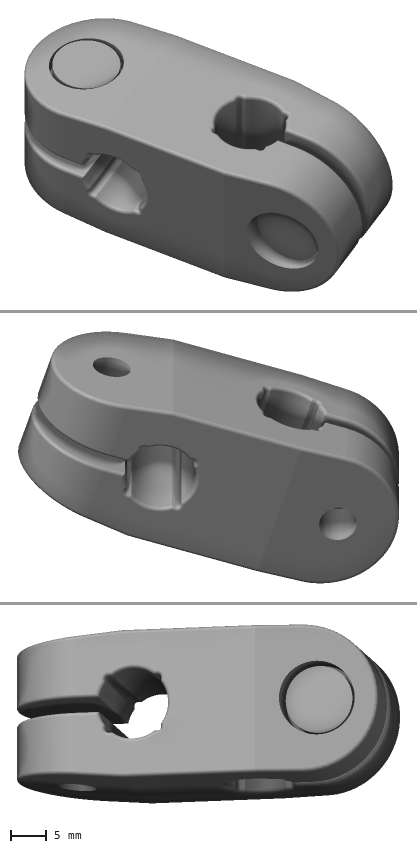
import cadquery as cq

length = 53.0
width = 21.0
edge_radius = 0.5

end_radius = width / 2
end_centre_x = length / 2 - end_radius
taper_start_x = 9.5
z_taper_drop = 1.5
y_taper_drop = 2.55

bore_x = 8.0
bore_radius = 5.0
relief_square = 8.0
relief_corner_radius = 0.5
slot_width = 2.0
cut_through = 2 * width
bore_seam_angle = 45

screw_x = 18.05
seat_radius = 5.25
head_radius = 4.75
head_height = 2.75
jaw_hole_radius = 2.65
z_head_top = 9.65
y_head_top = 7.7


def to_other_end(shape):
    """Half turn that sends -X to +X, +Z to -Y and Y to -Z."""
    return shape.rotate((0, 0, 0), (0, 1, -1), 180)


def end_profile(taper_drop):
    """Side outline extruded along Y: tapered at -X, round at +X."""
    half = width / 2
    tip = half - taper_drop
    return (
        cq.Workplane("XZ")
        .moveTo(-length / 2, -tip)
        .lineTo(-taper_start_x, -half)
        .lineTo(end_centre_x, -half)
        .threePointArc((length / 2, 0), (end_centre_x, half))
        .lineTo(-taper_start_x, half)
        .lineTo(-length / 2, tip)
        .close()
        .extrude(half, both=True)
    )


def grooved_bore():
    """Bore along Y at the -X end, with its four corner grooves."""
    bore = cq.Workplane("XZ").center(-bore_x, 0).circle(bore_radius).extrude(cut_through / 2, both=True)
    relief = (
        cq.Workplane("XY")
        .box(relief_square, cut_through, relief_square)
        .edges("|Y")
        .fillet(relief_corner_radius)
        .translate((-bore_x, 0, 0))
    )
    bore = bore.rotate((-bore_x, 0, 0), (-bore_x, 1, 0), bore_seam_angle)
    return bore.union(relief)


def clamp_slot():
    """Slot from the bore axis out past the -X tip."""
    return cq.Workplane("XY").box(length, cut_through, slot_width).translate((-bore_x - length / 2, 0, 0))


def cut_and_round(body, cutter):
    """Cut an opening along Y at the -X end and round its rims."""
    rim_zone = cq.selectors.BoxSelector((-length, -width, -bore_radius), (0, width, bore_radius))
    return body.cut(cutter).edges(rim_zone).edges("not |Y").fillet(edge_radius)


def cut_clamp(body):
    """Cut the -X clamp; its bore and slot are rounded apart so that their rims meet in a mitre."""
    return cut_and_round(body, grooved_bore()).intersect(cut_and_round(body, clamp_slot()))


def z_cylinder(radius, bottom, top):
    """Cylinder on the axis of the -X screw."""
    return cq.Workplane("XY", origin=(-screw_x, 0, bottom)).circle(radius).extrude(top - bottom)


def add_screw(body, head_top):
    """Sink a screw head into a counterbore at the -X end, with a plain hole in the opposite jaw."""
    seat_floor = head_top - head_height
    seat = z_cylinder(seat_radius, seat_floor, width)
    jaw_hole = z_cylinder(jaw_hole_radius, -width, 0)
    head = z_cylinder(head_radius, seat_floor, head_top)
    return body.cut(seat).cut(jaw_hole).union(head)


body = end_profile(z_taper_drop).intersect(to_other_end(end_profile(y_taper_drop)))
body = body.edges("not (|Y or |Z)").fillet(edge_radius)

for _ in range(2):
    body = to_other_end(cut_clamp(body))

for head_top in (z_head_top, y_head_top):
    body = to_other_end(add_screw(body, head_top))

result = body